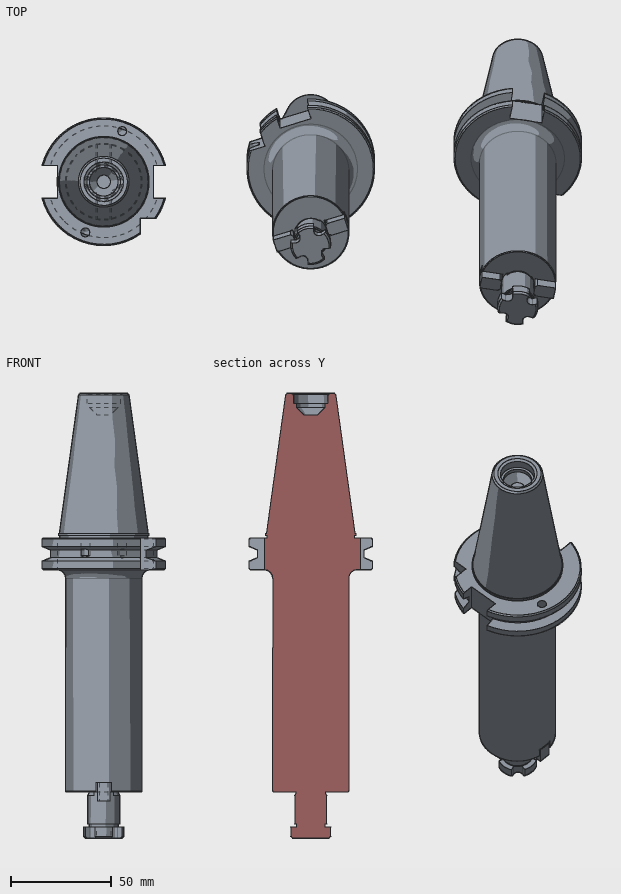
import cadquery as cq
import math

total_height = 221.5
flange_top = 149.5
flange_height = 16.0
flange_bottom = flange_top - flange_height
collar_height = 2.2
collar_undercut_height = 1.0
body_bottom = 23.0
screw_head_height = 5.8

taper_top_radius = 12.6
taper_base_radius = 22.1
taper_top_chamfer = 0.9
collar_radius = 22.5
collar_undercut_radius = 22.0

flange_diameter = 63.5
flange_radius = flange_diameter / 2
flange_chamfer = 0.7
groove_depth = 4.0
groove_floor_radius = flange_radius - groove_depth
groove_floor_width = 3.8
groove_mouth_width = 7.3
groove_middle = flange_bottom + flange_height / 2

body_radius = 19.0
body_fillet = 4.2
body_chamfer = 0.5
pilot_radius = 8.0
pilot_undercut_radius = 7.3
pilot_undercut_height = 1.8
pilot_undercut_gap = 9.7
neck_radius = 7.3
neck_height = 1.3
screw_head_radius = 10.0
screw_head_chamfer = 0.9

keyway_width = 16.2
left_keyway_floor = 23.0
right_keyway_floor = 24.8
corner_notch_offset = 18.2

coolant_hole_radius = 2.2
coolant_circle_radius = 26.8
coolant_hole_angle = 70
coolant_hole_depth = 8.9
coolant_tip_height = 1.3

bore_rim_radius = 9.7
bore_radius = 8.5
bore_rim_chamfer = 0.7
bore_depth = 5.0
recess_radius = 7.0
recess_depth = 7.0
bore_bottom_radius = 3.3

key_width = 6.5
key_slot_width = 7.7
key_slot_top = 28.0
key_bottom = 18.5
key_outer_radius = 18.5
key_inner_radius = 8.5
key_inner_chamfer = 1.0
key_slot_inner_radius = 8.2

notch_count = 4
notch_floor_radius = 6.2
notch_bend_radius = 7.5
notch_bend_half_width = 2.2
notch_mouth_half_width = 3.8


def box_between(x_range, y_range, z_range):
    """Axis-aligned box spanning the given coordinate ranges."""
    sizes = [high - low for low, high in (x_range, y_range, z_range)]
    corner = (x_range[0], y_range[0], z_range[0])
    return cq.Workplane("XY").box(*sizes, centered=False).translate(corner)


def revolved_body():
    """Outer turned shape, from the screw head up to the taper end."""
    collar_top = flange_top + collar_height
    mouth_low = groove_middle - groove_mouth_width / 2
    mouth_high = groove_middle + groove_mouth_width / 2
    floor_low = groove_middle - groove_floor_width / 2
    floor_high = groove_middle + groove_floor_width / 2
    neck_top = screw_head_height + neck_height
    fillet_mid = body_fillet * (1 - math.sqrt(0.5))
    return (
        cq.Workplane("XZ")
        .moveTo(0, 0)
        .lineTo(screw_head_radius - screw_head_chamfer, 0)
        .lineTo(screw_head_radius, screw_head_chamfer)
        .lineTo(screw_head_radius, screw_head_height)
        .lineTo(neck_radius, screw_head_height)
        .lineTo(neck_radius, neck_top)
        .lineTo(pilot_radius, neck_top)
        .lineTo(pilot_radius, body_bottom)
        .lineTo(body_radius - body_chamfer, body_bottom)
        .lineTo(body_radius, body_bottom + body_chamfer)
        .lineTo(body_radius, flange_bottom - body_fillet)
        .threePointArc(
            (body_radius + fillet_mid, flange_bottom - fillet_mid),
            (body_radius + body_fillet, flange_bottom),
        )
        .lineTo(flange_radius - flange_chamfer, flange_bottom)
        .lineTo(flange_radius, flange_bottom + flange_chamfer)
        .lineTo(flange_radius, mouth_low)
        .lineTo(groove_floor_radius, floor_low)
        .lineTo(groove_floor_radius, floor_high)
        .lineTo(flange_radius, mouth_high)
        .lineTo(flange_radius, flange_top - flange_chamfer)
        .lineTo(flange_radius - flange_chamfer, flange_top)
        .lineTo(collar_undercut_radius, flange_top)
        .lineTo(collar_undercut_radius, flange_top + collar_undercut_height)
        .lineTo(collar_radius, flange_top + collar_undercut_height)
        .lineTo(collar_radius, collar_top)
        .lineTo(taper_base_radius, collar_top)
        .lineTo(taper_top_radius, total_height - taper_top_chamfer)
        .lineTo(taper_top_radius - taper_top_chamfer, total_height)
        .lineTo(0, total_height)
        .close()
        .revolve(360, (0, 0, 0), (0, 1, 0))
    )


def drawbar_bore():
    """Stepped blind bore with a chamfered rim and a conical end."""
    cone_height = recess_radius - bore_bottom_radius
    recess_bottom = total_height - recess_depth
    return (
        cq.Workplane("XZ")
        .moveTo(0, total_height)
        .lineTo(bore_rim_radius, total_height)
        .lineTo(bore_radius, total_height - bore_rim_chamfer)
        .lineTo(bore_radius, total_height - bore_depth)
        .lineTo(recess_radius, total_height - bore_depth)
        .lineTo(recess_radius, recess_bottom)
        .lineTo(bore_bottom_radius, recess_bottom - cone_height)
        .lineTo(0, recess_bottom - cone_height)
        .close()
        .revolve(360, (0, 0, 0), (0, 1, 0))
    )


def flange_cuts():
    """Two drive keyways and one corner notch through the flange height."""
    heights = (flange_bottom, flange_top)
    keyway_sides = (-keyway_width / 2, keyway_width / 2)
    left = box_between((-flange_radius, -left_keyway_floor), keyway_sides, heights)
    right = box_between((right_keyway_floor, flange_radius), keyway_sides, heights)
    corner = box_between(
        (corner_notch_offset, flange_radius),
        (-flange_radius, -corner_notch_offset),
        heights,
    )
    return left.union(right).union(corner)


def coolant_holes():
    """Two opposite drilled holes sunk from the top face of the flange."""
    hole_end = flange_top - coolant_hole_depth
    drill = (
        cq.Workplane("XZ")
        .moveTo(0, flange_top)
        .lineTo(coolant_hole_radius, flange_top)
        .lineTo(coolant_hole_radius, hole_end)
        .lineTo(0, hole_end - coolant_tip_height)
        .close()
        .revolve(360, (0, 0, 0), (0, 1, 0))
        .translate((coolant_circle_radius, 0, 0))
    )
    first = drill.rotate((0, 0, 0), (0, 0, 1), coolant_hole_angle)
    second = first.rotate((0, 0, 0), (0, 0, 1), 180)
    return first.union(second)


def key_block(side, width, inner_radius, outer_radius, bottom):
    """Block under the body on the +Y (side 1) or -Y (side -1) half."""
    y_range = sorted((side * inner_radius, side * outer_radius))
    return box_between((-width / 2, width / 2), y_range, (bottom, key_slot_top))


def pilot_undercut():
    """Tapered relief at the root of the pilot, interrupted beside the keys."""
    root_ring = (
        cq.Workplane("XZ")
        .moveTo(pilot_radius, body_bottom - pilot_undercut_height)
        .lineTo(pilot_undercut_radius, body_bottom)
        .lineTo(pilot_radius, body_bottom)
        .close()
        .revolve(360, (0, 0, 0), (0, 1, 0))
    )
    gap_sides = (-pilot_undercut_gap / 2, pilot_undercut_gap / 2)
    gap = box_between(
        gap_sides,
        (-pilot_radius, pilot_radius),
        (body_bottom - pilot_undercut_height, body_bottom),
    )
    return root_ring.cut(gap)


def wrench_notches():
    """Flared notches with round floors, midway between the X and Y axes."""
    notch = (
        cq.Workplane("XY")
        .moveTo(notch_bend_radius, -notch_bend_half_width)
        .threePointArc((notch_floor_radius, 0), (notch_bend_radius, notch_bend_half_width))
        .lineTo(screw_head_radius, notch_mouth_half_width)
        .lineTo(screw_head_radius, -notch_mouth_half_width)
        .close()
        .extrude(screw_head_height)
    )
    step = 360 / notch_count
    notches = cq.Workplane("XY")
    for index in range(notch_count):
        notches = notches.add(notch.rotate((0, 0, 0), (0, 0, 1), (index + 0.5) * step))
    return notches.combine()


result = revolved_body().cut(drawbar_bore()).cut(flange_cuts()).cut(coolant_holes())
for key_side in (1, -1):
    slot = key_block(key_side, key_slot_width, key_slot_inner_radius, body_radius, body_bottom)
    key = key_block(key_side, key_width, key_inner_radius, key_outer_radius, key_bottom)
    inner_face = "<Y" if key_side > 0 else ">Y"
    key = key.faces(inner_face).edges("|Z").chamfer(key_inner_chamfer)
    result = result.cut(slot).union(key)
result = result.cut(pilot_undercut()).cut(wrench_notches())